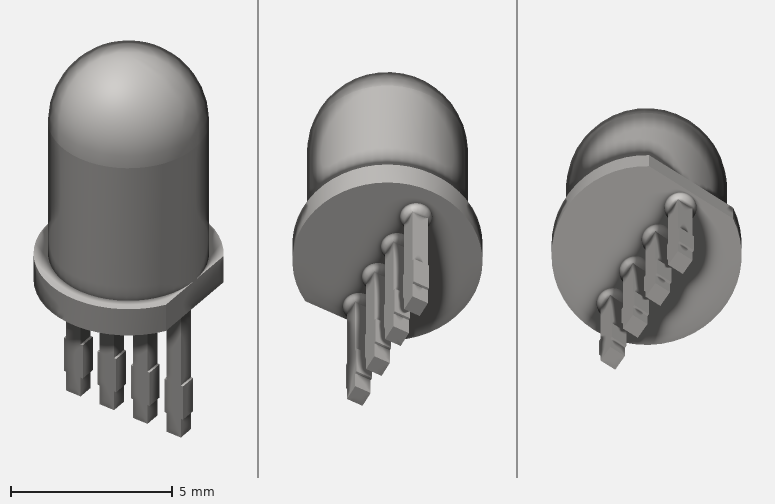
import cadquery as cq
import math

total_height = 13.6
lens_diameter = 5.0
lens_radius = lens_diameter / 2
dome_base_z = total_height - lens_radius

flange_diameter = 5.9
flange_radius = flange_diameter / 2
flange_bottom_z = 5.0
flange_height = 1.0
flat_x = lens_radius

lead_count = 4
lead_pitch = 1.26
lead_thickness = 0.55
shoulder_width = 0.71
shoulder_bottom_z = 0.72
shoulder_height = 1.28

bead_radius = 0.5
bead_depth = 0.33

lead_positions = [(i - (lead_count - 1) / 2) * lead_pitch for i in range(lead_count)]


def make_lead(x):
    """Square lead with a wider shoulder near its lower end."""
    shank = cq.Workplane("XY").center(x, 0).rect(lead_thickness, lead_thickness).extrude(flange_bottom_z)
    shoulder = (
        cq.Workplane("XY", origin=(x, 0, shoulder_bottom_z))
        .rect(shoulder_width, lead_thickness)
        .extrude(shoulder_height)
    )
    return shank.union(shoulder)


def make_flange():
    """Round flange cut flat on its +X side."""
    flange = cq.Workplane("XY", origin=(0, 0, flange_bottom_z)).circle(flange_radius).extrude(flange_height)
    waste = (
        cq.Workplane("XY", origin=(flat_x + flange_radius, 0, flange_bottom_z))
        .rect(flange_diameter, flange_diameter)
        .extrude(flange_height)
    )
    return flange.cut(waste)


def make_lens():
    """Cylinder closed by a hemispherical dome, revolved about Z."""
    dome_offset = lens_radius * math.sqrt(0.5)
    return (
        cq.Workplane("XZ")
        .moveTo(0, flange_bottom_z)
        .lineTo(lens_radius, flange_bottom_z)
        .lineTo(lens_radius, dome_base_z)
        .threePointArc((dome_offset, dome_base_z + dome_offset), (0, total_height))
        .close()
        .revolve(360, (0, 0, 0), (0, 1, 0))
    )


def make_bead(x):
    """Disc below the flange whose lower rim is rounded over its full depth."""
    core_radius = bead_radius - bead_depth
    rim_offset = bead_depth * math.sqrt(0.5)
    return (
        cq.Workplane("XZ")
        .moveTo(0, 0)
        .lineTo(bead_radius, 0)
        .threePointArc((core_radius + rim_offset, -rim_offset), (core_radius, -bead_depth))
        .lineTo(0, -bead_depth)
        .close()
        .revolve(360, (0, 0, 0), (0, 1, 0))
        .translate((x, 0, flange_bottom_z))
    )


def make_housing(leads):
    """Lens, flange and beads in one piece, with a close-fitting hole for each lead."""
    housing = make_lens().union(make_flange())
    for x in lead_positions:
        housing = housing.union(make_bead(x))
    for lead in leads:
        housing = housing.cut(lead)
    return housing


leads = [make_lead(x) for x in lead_positions]
housing = make_housing(leads)

result = cq.Compound.makeCompound([housing.solids().val(), *[lead.solids().val() for lead in leads]])